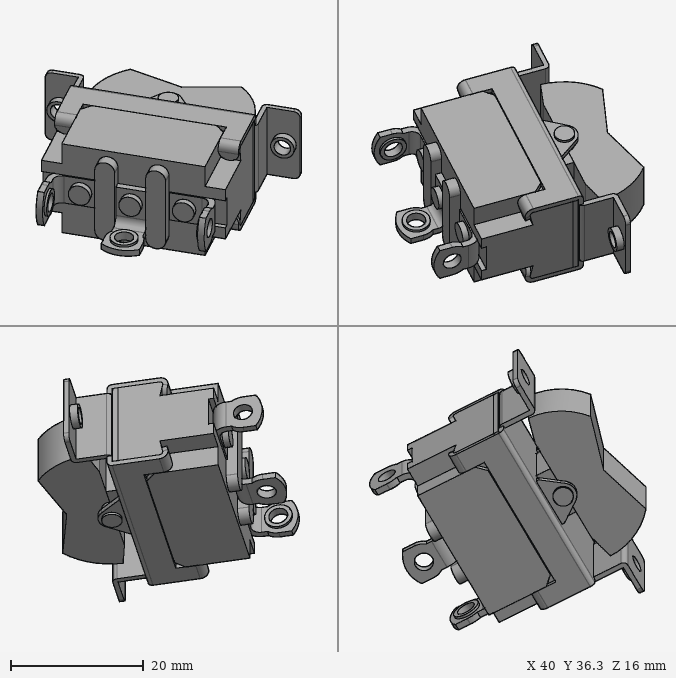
import cadquery as cq
import math


diagonal = math.sqrt(0.5)

body_length = 28.9
body_height = 14.3
sheet = 0.8
clearance = 0.1
housing_depth = 14.75
plate_thickness = 0.8
plate_top = housing_depth + plate_thickness
frame_inner = plate_top + clearance
frame_outer = frame_inner + sheet
pivot_y = 18.85

bulk_length = 22.5
bulk_height = 16.0
bulk_depth = 11.3
bulk_chamfer = 1.45
notch_floor = 4.45
rib_spacing = 8.0
rib_width = 3.1
rib_length = 14.0
rib_depth = 1.75

terminal_thickness = 1.05
strip_width = 4.9
bend_outer = 2.4
bend_inner = bend_outer - terminal_thickness
pad_overhang = 2.5
rivet_to_leg = 5.05
rivet_diameter = 3.4
rivet_height = 1.0
eye_drop = 5.05
eye_width = 6.0
eye_hole = 2.9
eye_collar = 4.25
eye_collar_height = 0.4
tip_corner_drop = 7.05
tip_drop = 8.0
groove_depth = 0.8
side_rivet_x = 8.15

window_gap = 0.1
window_top = bulk_depth + window_gap
hook_radius = 1.3
hook_inner = hook_radius - sheet
hook_angle = 102.0
hook_bend_y = 8.35
leg_inner_x = 14.0
leg_width = 12.1
tab_top = 21.9
tab_end_x = 20.0
tab_corner = 1.0
mount_x = 17.55
mount_hole = 2.55
mount_collar = 3.7
mount_collar_height = 1.2
ear_radius = 2.1
ear_shoulder_y = 16.9
ear_outer_z = 6.1

stem_width = 8.1
pin_diameter = 3.1
pin_length = 12.95
rocker_peak = (8.7, 28.3)
rocker_valley_y = 25.8
rocker_wing = (12.95, 19.9)
rocker_flat = 8.9
rocker_bulge = 1.05


def block(length, y_low, y_high, height):
    """Box centred on X = 0 and Z = 0 that spans y_low to y_high."""
    middle = (0, (y_low + y_high) / 2, 0)
    return cq.Workplane("XY").box(length, y_high - y_low, height).translate(middle)


def disc(x, z, y_start, y_end, diameter):
    """Cylinder along Y between two heights."""
    face = cq.Workplane("XZ", origin=(0, y_start, 0)).center(x, z)
    return face.circle(diameter / 2).extrude(y_start - y_end)


def on_hook(radius, angle):
    """Y and Z of the point at an angle along the bend of a hook, on the +Z side."""
    turn = math.radians(angle)
    center_z = body_height / 2 + sheet - hook_radius
    return (hook_bend_y - radius * math.sin(turn), center_z + radius * math.cos(turn))


def pin_shape():
    """Pivot pin along Z, also used to cut its own hole in the other bodies."""
    return cq.Workplane("XY").center(0, pivot_y).circle(pin_diameter / 2).extrude(pin_length / 2, both=True)


def mirrored_x(shape):
    return shape.union(shape.mirror("YZ"))


def mirrored_z(shape):
    return shape.union(shape.mirror("XY"))


def make_terminal():
    """Bent solder terminal with its rivet on the Y axis, its seat at Y = 0 and its leg toward -X."""
    leg_x = -rivet_to_leg
    bend_x = leg_x + bend_outer
    strip = (
        cq.Workplane("XY")
        .moveTo(pad_overhang, 0)
        .lineTo(bend_x, 0)
        .threePointArc(
            (bend_x - bend_outer * diagonal, -bend_outer + bend_outer * diagonal),
            (leg_x, -bend_outer),
        )
        .lineTo(leg_x, -eye_drop)
        .lineTo(leg_x + terminal_thickness, -eye_drop)
        .lineTo(leg_x + terminal_thickness, -bend_outer)
        .threePointArc(
            (bend_x - bend_inner * diagonal, -bend_outer + bend_inner * diagonal),
            (bend_x, -terminal_thickness),
        )
        .lineTo(pad_overhang, -terminal_thickness)
        .close()
        .extrude(strip_width / 2, both=True)
    )
    half_eye = eye_width / 2
    half_strip = strip_width / 2
    neck_drop = eye_drop - math.sqrt(half_eye**2 - half_strip**2)
    flare = half_eye * math.sin((math.asin(half_strip / half_eye) + math.pi / 2) / 2)
    flare_drop = eye_drop - math.sqrt(half_eye**2 - flare**2)
    leg_face = cq.Workplane("YZ", origin=(leg_x, 0, 0))
    tongue = (
        leg_face.moveTo(-eye_drop, half_eye)
        .lineTo(-tip_corner_drop, half_eye)
        .threePointArc((-tip_drop, 0), (-tip_corner_drop, -half_eye))
        .lineTo(-eye_drop, -half_eye)
        .threePointArc((-flare_drop, -flare), (-neck_drop, -half_strip))
        .lineTo(-neck_drop, half_strip)
        .threePointArc((-flare_drop, flare), (-eye_drop, half_eye))
        .close()
        .extrude(terminal_thickness)
    )
    eye = leg_face.center(-eye_drop, 0)
    collar = eye.circle(eye_collar / 2).extrude(terminal_thickness + eye_collar_height)
    hole = eye.circle(eye_hole / 2).extrude(terminal_thickness + eye_collar_height)
    rivet = disc(0, 0, 0, -terminal_thickness - rivet_height, rivet_diameter)
    return strip.union(tongue).union(collar).cut(hole).union(rivet)


def make_housing():
    """Housing with its ribs and its three fixed terminals."""
    bulk = block(bulk_length, 0, bulk_depth, bulk_height)
    bulk = bulk.edges("|Z and >Y").chamfer(bulk_chamfer)
    body = block(body_length, 0, housing_depth, body_height)
    notch_length = (body_length - bulk_length) / 2
    wall_y, wall_z = on_hook(hook_inner, hook_angle)
    floor_y = wall_y - (wall_z - notch_floor) / math.tan(math.radians(hook_angle))
    notch = (
        cq.Workplane("YZ", origin=(bulk_length / 2, 0, 0))
        .moveTo(0, notch_floor)
        .lineTo(floor_y, notch_floor)
        .lineTo(wall_y, wall_z)
        .threePointArc(on_hook(hook_inner, hook_angle / 2), on_hook(hook_inner, 0))
        .lineTo(0, body_height / 2)
        .close()
        .extrude(notch_length)
    )
    body = body.cut(mirrored_x(mirrored_z(notch))).union(bulk)

    groove_start = side_rivet_x - pad_overhang
    groove = cq.Workplane("XY").box(body_length, groove_depth, strip_width, centered=(False, False, True))
    body = body.cut(mirrored_x(groove.translate((groove_start, 0, 0))))

    ribs = (
        cq.Workplane("XZ")
        .pushPoints([(-rib_spacing / 2, 0), (rib_spacing / 2, 0)])
        .slot2D(rib_length, rib_width, 90)
        .extrude(rib_depth)
    )
    body = body.union(ribs)

    terminal = make_terminal()
    left_terminal = terminal.translate((-side_rivet_x, groove_depth, 0))
    middle_terminal = terminal.rotate((0, 0, 0), (0, 1, 0), -90)
    return body.union(mirrored_x(left_terminal)).union(middle_terminal)


def make_plate():
    """Cover plate of the housing with the square stem that carries the rocker."""
    plate = block(body_length, housing_depth, plate_top, body_height)
    stem = block(stem_width, plate_top, pivot_y, stem_width)
    return plate.union(stem).cut(pin_shape())


def make_rocker():
    """Rocker with a V-shaped top, arched ends and half of the pin hole in its flat bottom."""
    peak_x, peak_y = rocker_peak
    wing_x, wing_y = rocker_wing
    chord = math.hypot(wing_x - peak_x, peak_y - wing_y)
    bulge_x = (peak_x + wing_x) / 2 + rocker_bulge * (peak_y - wing_y) / chord
    bulge_y = (peak_y + wing_y) / 2 + rocker_bulge * (wing_x - peak_x) / chord
    rocker = (
        cq.Workplane("XY")
        .moveTo(rocker_flat, pivot_y)
        .lineTo(wing_x, wing_y)
        .threePointArc((bulge_x, bulge_y), (peak_x, peak_y))
        .lineTo(0, rocker_valley_y)
        .lineTo(-peak_x, peak_y)
        .threePointArc((-bulge_x, bulge_y), (-wing_x, wing_y))
        .lineTo(-rocker_flat, pivot_y)
        .close()
        .extrude(stem_width / 2, both=True)
    )
    return rocker.cut(pin_shape())


def make_hook():
    """Bent end of one frame strap, on the +X and +Z side."""
    width = (body_length - bulk_length) / 2
    bend = (
        cq.Workplane("YZ", origin=(bulk_length / 2, 0, 0))
        .moveTo(*on_hook(hook_radius, 0))
        .threePointArc(on_hook(hook_radius, hook_angle / 2), on_hook(hook_radius, hook_angle))
        .lineTo(*on_hook(hook_inner, hook_angle))
        .threePointArc(on_hook(hook_inner, hook_angle / 2), on_hook(hook_inner, 0))
        .close()
        .extrude(width)
    )
    turn = math.radians(hook_angle)
    tongue_plane = cq.Plane(
        origin=((body_length + bulk_length) / 4, *on_hook(hook_inner, hook_angle)),
        xDir=(-1, 0, 0),
        normal=(0, -math.sin(turn), math.cos(turn)),
    )
    tongue = (
        cq.Workplane(tongue_plane)
        .moveTo(-width / 2, 0)
        .threePointArc((0, width / 2), (width / 2, 0))
        .close()
        .extrude(sheet)
    )
    return bend.union(tongue)


def make_mount():
    """Mounting leg with its tab and collared hole, on the +X side."""
    leg_outer_x = leg_inner_x + sheet
    tab_bottom = tab_top - sheet
    arc_far = sheet * diagonal
    mount = (
        cq.Workplane("XY")
        .moveTo(leg_inner_x, frame_inner)
        .threePointArc((leg_inner_x + arc_far, frame_outer - arc_far), (leg_outer_x, frame_outer))
        .lineTo(leg_outer_x, tab_bottom)
        .lineTo(tab_end_x, tab_bottom)
        .lineTo(tab_end_x, tab_top)
        .lineTo(leg_outer_x, tab_top)
        .threePointArc((leg_outer_x - arc_far, tab_bottom + arc_far), (leg_inner_x, tab_bottom))
        .close()
        .extrude(leg_width / 2, both=True)
    )
    mount = mount.edges("|Y and >X").fillet(tab_corner)
    collar_end = tab_bottom - mount_collar_height
    collar = disc(mount_x, 0, tab_top, collar_end, mount_collar)
    hole = disc(mount_x, 0, tab_top, collar_end, mount_hole)
    return mount.union(collar).cut(hole)


def make_ear():
    """Pivot ear on the +Z side, with straight flanks tangent to its round top."""
    half = stem_width / 2
    drop = pivot_y - ear_shoulder_y
    reach = math.hypot(half, drop)
    tangent = math.acos(ear_radius / reach) - math.atan2(drop, half)
    touch_x = ear_radius * math.cos(tangent)
    touch_y = pivot_y + ear_radius * math.sin(tangent)
    return (
        cq.Workplane("XY", origin=(0, 0, ear_outer_z - sheet))
        .moveTo(-half, frame_inner)
        .lineTo(half, frame_inner)
        .lineTo(half, ear_shoulder_y)
        .lineTo(touch_x, touch_y)
        .threePointArc((0, pivot_y + ear_radius), (-touch_x, touch_y))
        .lineTo(-half, ear_shoulder_y)
        .close()
        .extrude(sheet)
    )


def make_frame():
    """Sheet frame that straddles the housing, with straps, hooks, ears and mounting tabs."""
    wrap = block(body_length, hook_bend_y, frame_outer, body_height + 2 * sheet)
    wrap = wrap.edges("|X and >Y").fillet(sheet)
    wrap = wrap.cut(block(body_length, hook_bend_y, frame_inner, body_height))
    wrap = wrap.cut(block(bulk_length, hook_bend_y, window_top, bulk_height))
    frame = wrap.union(mirrored_x(mirrored_z(make_hook())))
    frame = frame.union(mirrored_x(make_mount())).union(mirrored_z(make_ear()))
    stem_opening = block(stem_width, frame_inner, frame_outer, stem_width)
    return frame.cut(stem_opening).cut(pin_shape())


housing = make_housing()
plate = make_plate()
frame = make_frame()
rocker = make_rocker()
pin = pin_shape()

result = cq.Compound.makeCompound(
    [housing.val(), plate.val(), frame.val(), rocker.val(), pin.val()]
)